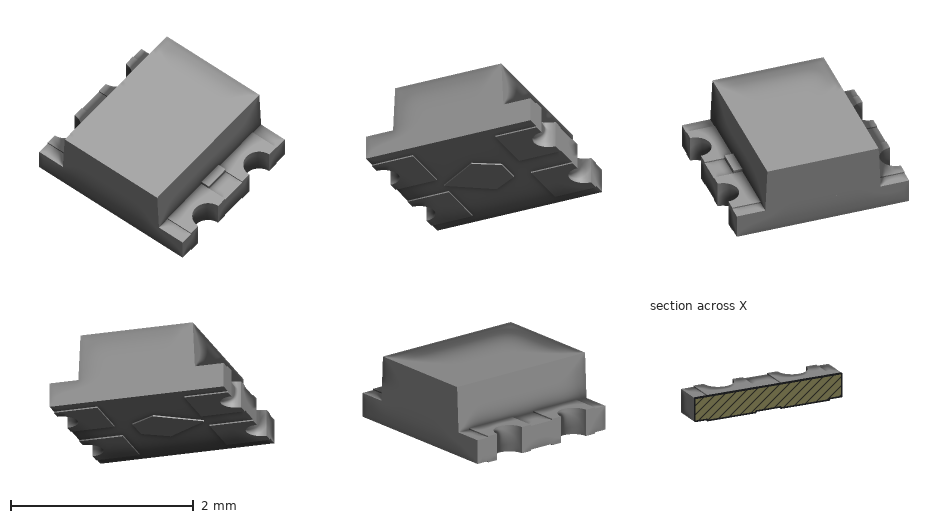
import cadquery as cq

board_length = 2.0
board_width = 1.8
overall_height = 0.81
pad_thickness = 0.015
board_thickness = 0.275
board_bottom = pad_thickness
board_top = board_bottom + board_thickness
pad_top = board_top + pad_thickness

lens_base_length = 1.34
lens_top_length = 1.29

pad_pitch = 0.9
pad_width = 0.6
pad_gap = pad_pitch - pad_width
top_pad_length = (board_length - lens_base_length) / 2
bottom_pad_length = 0.5
notch_radius = 0.175

block_length = 0.1
block_height = 0.05

mark_tail_x = -0.29
mark_tail_half_width = pad_gap / 2
mark_shoulder_half_width = 0.317
mark_tip_x = 0.485


def plate(length, width, height, x, y, bottom):
    """Rectangular plate centred on (x, y) and standing on the given height."""
    return cq.Workplane("XY").box(length, width, height, centered=(True, True, False)).translate((x, y, bottom))


def make_polarity_mark():
    return (
        cq.Workplane("XY")
        .moveTo(mark_tail_x, -mark_tail_half_width)
        .lineTo(0, -mark_shoulder_half_width)
        .lineTo(mark_tip_x, 0)
        .lineTo(0, mark_shoulder_half_width)
        .lineTo(mark_tail_x, mark_tail_half_width)
        .close()
        .extrude(pad_thickness)
    )


def make_board():
    """Board with its pads and polarity mark, notched at the pads."""
    board = plate(board_length, board_width, board_thickness, 0, 0, board_bottom)
    board = board.union(make_polarity_mark())
    notch_centres = []
    for end in (-1, 1):
        for side in (-1, 1):
            pad_y = side * pad_pitch / 2
            top_x = end * (board_length - top_pad_length) / 2
            bottom_x = end * (board_length - bottom_pad_length) / 2
            board = board.union(plate(top_pad_length, pad_width, pad_thickness, top_x, pad_y, board_top))
            board = board.union(plate(bottom_pad_length, pad_width, pad_thickness, bottom_x, pad_y, 0))
            notch_centres.append((end * board_length / 2, pad_y))
    notches = cq.Workplane("XY").pushPoints(notch_centres).circle(notch_radius).extrude(pad_top)
    return board.cut(notches).clean()


def make_lens():
    """Trapezoid profile in XZ, extruded over the full board width."""
    return (
        cq.Workplane("XZ")
        .moveTo(-lens_base_length / 2, board_top)
        .lineTo(lens_base_length / 2, board_top)
        .lineTo(lens_top_length / 2, overall_height)
        .lineTo(-lens_top_length / 2, overall_height)
        .close()
        .extrude(board_width / 2, both=True)
    )


def make_block():
    block_x = (lens_base_length + block_length) / 2
    return plate(block_length, pad_gap, block_height, block_x, 0, board_top)


board = make_board()
lens = make_lens()
block = make_block()

result = cq.Compound.makeCompound([board.val(), lens.val(), block.val()])